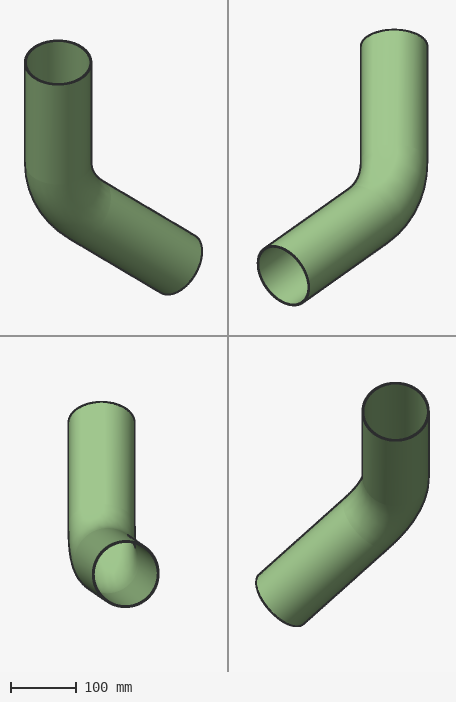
import cadquery as cq
import math

overall_height = 490.5
outer_diameter = 101.5
inner_diameter = 97.5
bend_angle = 45.0
bend_radius = 1.5 * outer_diameter

sine = math.sin(math.radians(bend_angle))
cosine = math.cos(math.radians(bend_angle))
end_face_drop = outer_diameter / 2 * sine
leg_length = (overall_height - bend_radius * sine - end_face_drop) / (1 + cosine)


def bend_point(angle):
    """Centreline point (Y, Z) after turning by angle degrees; the bend starts at the origin."""
    turn = math.radians(angle)
    return (bend_radius * (1 - math.cos(turn)), -bend_radius * math.sin(turn))


bend_end = bend_point(bend_angle)
lower_end = (bend_end[0] + leg_length * sine, bend_end[1] - leg_length * cosine)
centreline = (
    cq.Workplane("YZ")
    .moveTo(0, leg_length)
    .lineTo(0, 0)
    .threePointArc(bend_point(bend_angle / 2), bend_end)
    .lineTo(*lower_end)
)

result = (
    cq.Workplane("XY")
    .workplane(offset=leg_length)
    .circle(outer_diameter / 2)
    .circle(inner_diameter / 2)
    .sweep(centreline)
)